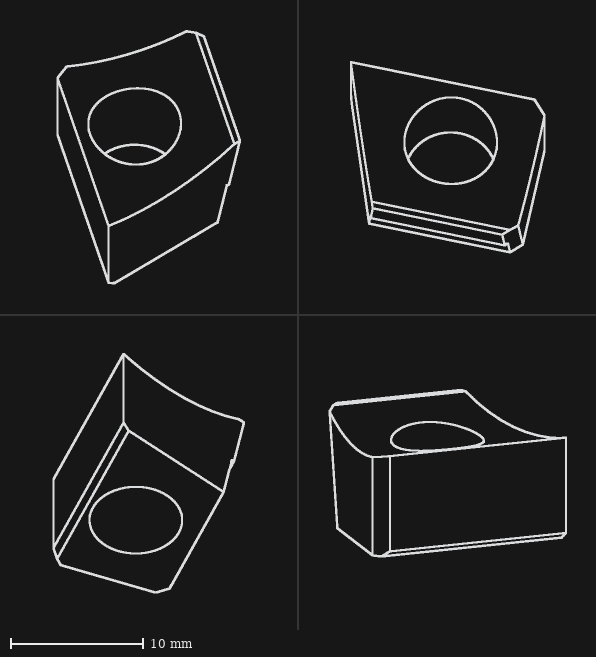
import cadquery as cq
import math

depth = 11.5
rear_height = 9.0
front_height = 8.0
rear_length = 11.0
end_angle = 20.0
rear_angle = 11.0

rim_width = 0.5
saddle_radius = 15.0

corner_chamfer = 1.0
bottom_chamfer = 0.5

relief_height = 4.1
relief_depth = 0.2

hole_diameter = 7.0
hole_x = 6.5
hole_y = 4.5

end_slope = math.tan(math.radians(end_angle))
front_length = rear_length + depth * end_slope
rear_slope = math.tan(math.radians(rear_angle))


def rear_face_y(z):
    """Y of the undercut rear face at height z."""
    return depth - (rear_height - z) * rear_slope


def saddle_midpoint():
    """Middle point (Y, Z) of the concave arc from the front edge to the rim."""
    chord_y = depth - rim_width
    chord_z = rear_height - front_height
    chord = math.hypot(chord_y, chord_z)
    sag = saddle_radius - math.sqrt(saddle_radius**2 - (chord / 2) ** 2)
    mid_y = chord_y / 2 + sag * chord_z / chord
    mid_z = (front_height + rear_height) / 2 - sag * chord_y / chord
    return mid_y, mid_z


def side_profile():
    """Side section in YZ, extruded along the full length."""
    return (
        cq.Workplane("YZ")
        .moveTo(bottom_chamfer, 0)
        .lineTo(rear_face_y(0), 0)
        .lineTo(depth, rear_height)
        .lineTo(depth - rim_width, rear_height)
        .threePointArc(saddle_midpoint(), (0, front_height))
        .lineTo(0, bottom_chamfer)
        .close()
        .extrude(front_length)
    )


def plan_outline():
    """Plan shape with the slanted right end and the front-left corner chamfer."""
    return (
        cq.Workplane("XY")
        .moveTo(corner_chamfer, 0)
        .lineTo(front_length, 0)
        .lineTo(rear_length, depth)
        .lineTo(0, depth)
        .lineTo(0, corner_chamfer)
        .close()
        .extrude(rear_height)
    )


def rear_relief():
    """Layer removed from the rear face below the relief height."""
    return (
        cq.Workplane("YZ")
        .moveTo(rear_face_y(0) - relief_depth, 0)
        .lineTo(rear_face_y(relief_height) - relief_depth, relief_height)
        .lineTo(depth, relief_height)
        .lineTo(depth, 0)
        .close()
        .extrude(front_length)
    )


def through_hole():
    """Vertical bolt hole."""
    return (
        cq.Workplane("XY")
        .center(hole_x, hole_y)
        .circle(hole_diameter / 2)
        .extrude(rear_height)
    )


block = side_profile().intersect(plan_outline())

rear_edge_direction = cq.Vector(0, rear_slope, 1)
rear_left_edge = cq.selectors.ParallelDirSelector(rear_edge_direction)
block = block.faces("<X").edges(rear_left_edge).chamfer(corner_chamfer)

result = block.cut(rear_relief()).cut(through_hole())